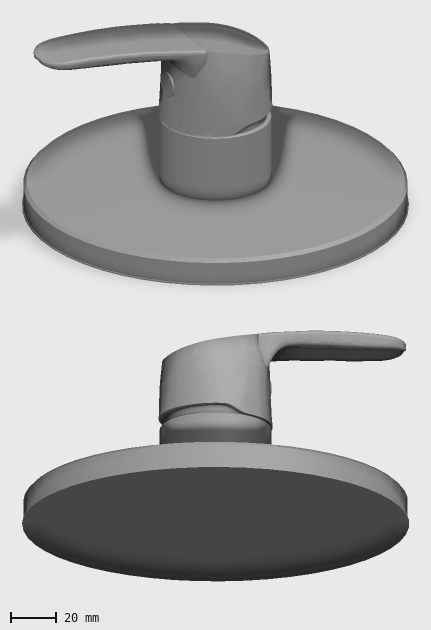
import cadquery as cq
import math

plate_radius = 85.0
plate_rim_radius = 84.5
plate_bevel_radius = 82.9
plate_lip_height = 0.7
plate_rim_height = 10.7
plate_bevel_height = 12.2
plate_height = 13.6
cutter_reach = 2 * plate_radius

sleeve_radius = 24.6
sleeve_top = 44.0
sleeve_chamfer = 0.7
collar_bottom_radius = 22.5
collar_top_radius = 20.8
collar_top = 49.9

head_bottom = 44.5
head_sections = [
    (head_bottom, 24.8, 25.1, 25.3, 2.0),
    (55.0, 24.5, 24.3, 25.0, 2.0),
    (65.4, 22.9, 23.5, 24.3, 2.2),
    (74.0, 21.0, 23.2, 23.2, 2.4),
    (82.5, 18.2, 22.9, 22.2, 2.7),
    (92.9, 15.8, 22.5, 21.2, 2.7),
]
section_points = 24
back_relief_height = 48.2
relief_start_y = 5.2
relief_end_y = -6.7

blade_sections = [
    (-13.8, 17.7, 84.3, 63.6),
    (-19.8, 17.5, 85.5, 65.9),
    (-25.1, 17.4, 86.3, 77.0),
    (-29.2, 17.0, 87.0, 79.5),
    (-34.4, 16.7, 87.9, 80.3),
    (-49.9, 15.7, 89.8, 81.5),
    (-65.4, 14.5, 90.8, 82.7),
    (-74.0, 13.8, 91.0, 83.8),
    (-80.0, 12.7, 90.6, 84.6),
    (-83.6, 10.7, 90.1, 85.3),
    (-86.0, 7.5, 89.5, 86.3),
    (-87.0, 3.8, 88.8, 87.4),
]
edge_rounding = 0.25
max_rounded_thickness = 6.9

top_back = (27.5, 73.0)
head_top = [(22.9, 74.5), (-5.2, 82.0), (-13.8, 84.1), (-19.8, 85.3), (-22.7, 85.8)]
blade_crest_start = -24.0

cover_radius = 5.7
cover_height = 63.3
cover_face_y = -24.0
cover_depth = 6.9



def make_base():
    """Turned plate, sleeve and collar."""
    profile = [
        (0, 0),
        (plate_radius, 0),
        (plate_radius, plate_lip_height),
        (plate_rim_radius, plate_lip_height),
        (plate_rim_radius, plate_rim_height),
        (plate_bevel_radius, plate_bevel_height),
        (sleeve_radius, plate_height),
        (sleeve_radius, sleeve_top - sleeve_chamfer),
        (sleeve_radius - sleeve_chamfer, sleeve_top),
        (collar_bottom_radius, sleeve_top),
        (collar_top_radius, collar_top),
        (0, collar_top),
    ]
    return cq.Workplane("XZ").polyline(profile).close().revolve(360, (0, 0), (0, 1))


def head_outline(half_width, front, back, exponent):
    """Points of a superellipse whose front and back halves differ in reach."""
    points = []
    for i in range(section_points):
        angle = 2 * math.pi * i / section_points
        c = math.cos(angle)
        s = math.sin(angle)
        reach = back if s > 0 else front
        x = half_width * math.copysign(abs(c) ** (2 / exponent), c)
        y = reach * math.copysign(abs(s) ** (2 / exponent), s)
        points.append((x, y))
    return points


def make_head():
    """Head lofted from a round foot to a narrower, squarer top."""
    head = cq.Workplane("XY")
    previous = 0
    for height, half_width, front, back, exponent in head_sections:
        outline = head_outline(half_width, front, back, exponent)
        head = head.workplane(offset=height - previous).spline(outline, periodic=True).close()
        previous = height
    head = head.loft(combine=True)

    crest = [(y, top) for y, _, top, _ in blade_sections if y < blade_crest_start]
    top_curve = head_top + crest
    above_top = (
        cq.Workplane("YZ")
        .moveTo(*top_back)
        .spline(top_curve, includeCurrent=True)
        .lineTo(top_curve[-1][0], cutter_reach)
        .lineTo(top_back[0], cutter_reach)
        .close()
        .extrude(plate_radius, both=True)
    )
    middle_y = (relief_start_y + relief_end_y) / 2
    middle_z = (back_relief_height + head_bottom) / 2
    back_relief = (
        cq.Workplane("YZ")
        .moveTo(relief_end_y, head_bottom)
        .spline(
            [(middle_y, middle_z), (relief_start_y, back_relief_height)],
            tangents=[(1, 0), (1, 0)],
            includeCurrent=True,
        )
        .lineTo(plate_radius, back_relief_height)
        .lineTo(plate_radius, head_bottom)
        .close()
        .extrude(plate_radius, both=True)
    )
    return head.cut(above_top).cut(back_relief)


def blade_wire(y, half_width, top, bottom):
    """Blade section at y: flat top, rounded edges and a full belly."""
    thickness = top - bottom
    rounding = edge_rounding * min(thickness, max_rounded_thickness)
    flat = half_width - rounding
    edge = top - rounding
    depth = edge - bottom
    shoulder = half_width * math.sqrt(0.5)
    low = edge - depth * math.sqrt(0.5)
    left = [(-shoulder, low), (-half_width, edge)]
    return (
        cq.Workplane("XZ", origin=(0, y, 0))
        .moveTo(-flat, top)
        .lineTo(flat, top)
        .spline([(half_width, edge)], tangents=[(1, 0), (0, -1)], includeCurrent=True)
        .spline([(shoulder, low), (0, bottom)] + left, tangents=[(0, -1), (0, 1)], includeCurrent=True)
        .spline([(-flat, top)], tangents=[(0, 1), (1, 0)], includeCurrent=True)
        .close()
        .val()
    )


def make_blade():
    """Lever blade lofted from inside the head out to its rounded tip."""
    return cq.Workplane(cq.Solid.makeLoft([blade_wire(*section) for section in blade_sections]))


def make_cover():
    return (
        cq.Workplane("XZ", origin=(0, cover_face_y, cover_height))
        .circle(cover_radius)
        .extrude(-cover_depth)
    )


lever = make_head().union(make_blade())
result = make_base().union(lever).union(make_cover())